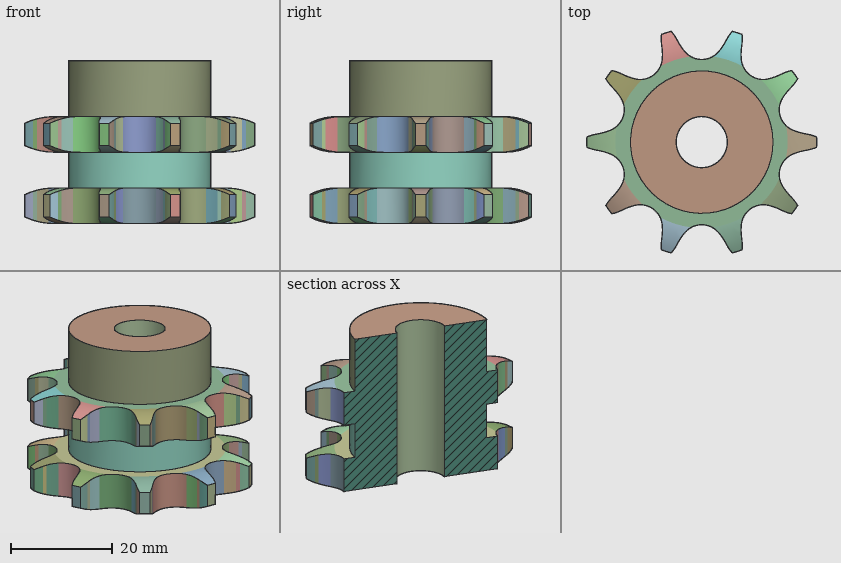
import cadquery as cq
import math


tooth_count = 10
chain_pitch = 12.7
roller_diameter = 8.5
seat_clearance = 0.075
tip_diameter = 45.2
tooth_width = 7.0
row_spacing = 14.0
hub_diameter = 28.0
bore_diameter = 10.0
total_height = 32.0
flank_drop = 1.3
flank_radius = 13.0

tip_radius = tip_diameter / 2
half_step = math.pi / tooth_count
pitch_radius = chain_pitch / (2 * math.sin(half_step))
seat_ratio = 0.5025
seat_radius = seat_ratio * roller_diameter + seat_clearance / 2
seat_angle = math.radians(35 + 60 / tooth_count)
working_angle = math.radians(18 - 56 / tooth_count)
top_angle = math.radians(17 - 64 / tooth_count)
working_offset = 0.8 * roller_diameter
topping_offset = 1.4 * roller_diameter
working_radius = seat_radius + working_offset
straight_length = topping_offset * math.sin(top_angle) - working_offset * math.sin(working_angle)
topping_radius = (
    working_offset * math.cos(working_angle) + topping_offset * math.cos(top_angle) - working_radius
)


def polar_step(start, distance, angle):
    """Point at a distance and direction from the start point."""
    return start[0] + distance * math.cos(angle), start[1] + distance * math.sin(angle)


def gap_flank():
    """Right half of a tooth gap centred on +Y: seat bottom up to the tooth tip."""
    seat_center = (0, pitch_radius)
    root = polar_step(seat_center, seat_radius, -math.pi / 2)
    seat_end = polar_step(seat_center, seat_radius, -seat_angle)

    working_center = polar_step(seat_center, working_offset, math.pi - seat_angle)
    working_mid = polar_step(working_center, working_radius, working_angle / 2 - seat_angle)
    normal_angle = working_angle - seat_angle
    working_end = polar_step(working_center, working_radius, normal_angle)

    straight_end = polar_step(working_end, straight_length, normal_angle + math.pi / 2)
    topping_center = polar_step(straight_end, topping_radius, normal_angle)
    center_distance = math.hypot(*topping_center)
    center_angle = math.atan2(topping_center[1], topping_center[0])
    tip_offset = math.acos(
        (tip_radius**2 + center_distance**2 - topping_radius**2) / (2 * tip_radius * center_distance)
    )
    tip = polar_step((0, 0), tip_radius, center_angle + tip_offset)
    start_angle = normal_angle + math.pi
    end_angle = math.atan2(tip[1] - topping_center[1], tip[0] - topping_center[0])
    topping_mid = polar_step(topping_center, topping_radius, (start_angle + end_angle) / 2)
    return root, seat_end, working_mid, working_end, straight_end, topping_mid, tip


def tooth_gap():
    """Cutter for the gap centred on +Y, reaching past the tip circle."""
    root, seat_end, working_mid, working_end, straight_end, topping_mid, tip = gap_flank()

    def mirror(point):
        return -point[0], point[1]

    outer_y = tip_radius + seat_radius
    return (
        cq.Workplane("XY")
        .moveTo(*seat_end)
        .threePointArc(working_mid, working_end)
        .lineTo(*straight_end)
        .threePointArc(topping_mid, tip)
        .lineTo(tip[0], outer_y)
        .lineTo(-tip[0], outer_y)
        .lineTo(*mirror(tip))
        .threePointArc(mirror(topping_mid), mirror(straight_end))
        .lineTo(*mirror(working_end))
        .threePointArc(mirror(working_mid), mirror(seat_end))
        .threePointArc(root, seat_end)
        .close()
        .extrude(tooth_width)
    )


def tooth_row():
    """One toothed disc, with rounded tooth sides, resting on Z = 0."""
    flank_run = math.sqrt(flank_radius**2 - (flank_radius - flank_drop) ** 2)
    flat_radius = tip_radius - flank_run
    half_arc = math.asin(flank_run / flank_radius) / 2
    mid_radius = flat_radius + flank_radius * math.sin(half_arc)
    mid_drop = flank_radius * (1 - math.cos(half_arc))
    row = (
        cq.Workplane("XZ")
        .lineTo(flat_radius, 0)
        .threePointArc((mid_radius, mid_drop), (tip_radius, flank_drop))
        .lineTo(tip_radius, tooth_width - flank_drop)
        .threePointArc((mid_radius, tooth_width - mid_drop), (flat_radius, tooth_width))
        .lineTo(0, tooth_width)
        .close()
        .revolve(360, (0, 0), (0, 1))
    )
    gap = tooth_gap()
    first_gap = -90 + math.degrees(half_step)
    for index in range(tooth_count):
        row = row.cut(gap.rotate((0, 0, 0), (0, 0, 1), first_gap + index * 360 / tooth_count))
    return row


lower_row = tooth_row()
upper_row = lower_row.translate((0, 0, row_spacing))
hub = cq.Workplane("XY").circle(hub_diameter / 2).extrude(total_height)
bore = cq.Workplane("XY").circle(bore_diameter / 2).extrude(total_height)

result = hub.union(lower_row).union(upper_row).cut(bore)